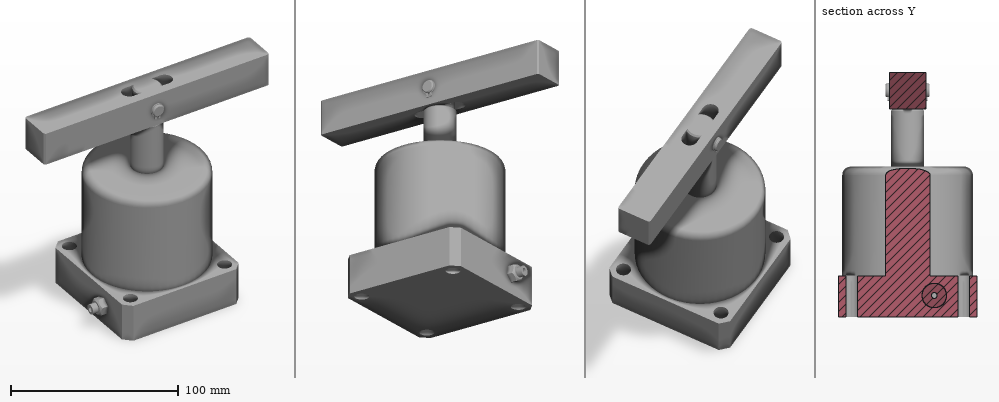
import cadquery as cq
import math

base_width = 83.0
base_height = 25.0
base_corner_chamfer = 5.0
bolt_hole_diameter = 9.0
bolt_hole_spacing = 67.0
cylinder_diameter = 78.0
cylinder_top = 90.0
cylinder_top_fillet = 5.0

total_height = 146.5
bar_length = 160.0
bar_section = 22.0
bar_end_chamfer = 1.0
slot_width = 10.0
slot_length = 35.0

rod_diameter = 20.0
rod_chamfer = 1.0
shoulder_gap = 0.5
tongue_chamfer = 1.0

pin_diameter = 8.0
pin_length = 26.5
pin_chamfer = 0.6
ring_thickness = 0.8
ring_outer_diameter = 8.8
ring_lug_reach = 6.4
ring_lug_span = 4.0
ring_gap = 1.3
lug_hole_diameter = 0.6
lug_hole_drop = 5.3

fitting_x = 15.8
fitting_z = 13.1
plug_diameter = 14.2
plug_length = 9.6
hex_across_flats = 10.0
hex_height = 5.1
hex_tilt = 20.0
hex_end_diameter = 8.6
spigot_diameter = 6.4
spigot_length = 4.0
fitting_bore_diameter = 3.2

front_face_y = -base_width / 2
bar_bottom = total_height - bar_section
pin_z = bar_bottom + bar_section / 2
shoulder_top = bar_bottom - shoulder_gap
tongue_top = total_height
rod_bottom = base_height


def cylinder_along_z(diameter, bottom, top):
    return cq.Workplane("XY", origin=(0, 0, bottom)).circle(diameter / 2).extrude(top - bottom)


def cylinder_along_x(diameter, length):
    """Cylinder centred on the pivot axis."""
    plane = cq.Workplane("YZ", origin=(-length / 2, 0, pin_z))
    return plane.circle(diameter / 2).extrude(length)


def fitting_plane(y):
    """Plane across the fitting axis; its normal points out of the front face."""
    return cq.Workplane("XZ", origin=(fitting_x, y, fitting_z))


def make_housing():
    base = (
        cq.Workplane("XY")
        .rect(base_width, base_width)
        .extrude(base_height)
        .edges("|Z")
        .chamfer(base_corner_chamfer)
    )
    bolt_holes = (
        cq.Workplane("XY")
        .rect(bolt_hole_spacing, bolt_hole_spacing, forConstruction=True)
        .vertices()
        .circle(bolt_hole_diameter / 2)
        .extrude(base_height)
    )
    cylinder = (
        cylinder_along_z(cylinder_diameter, base_height, cylinder_top)
        .faces(">Z")
        .edges()
        .fillet(cylinder_top_fillet)
    )
    rod_bore = cylinder_along_z(rod_diameter, rod_bottom, cylinder_top)
    fitting_hole = fitting_plane(front_face_y).circle(plug_diameter / 2).extrude(-plug_length)
    return base.cut(bolt_holes).union(cylinder).cut(rod_bore).cut(fitting_hole)


def make_rod():
    shank = (
        cylinder_along_z(rod_diameter, rod_bottom, shoulder_top)
        .faces(">Z")
        .edges()
        .chamfer(rod_chamfer)
    )
    tongue_diameter = rod_diameter - 2 * rod_chamfer
    round_tongue = (
        cylinder_along_z(tongue_diameter, shoulder_top, tongue_top)
        .faces(">Z")
        .edges()
        .chamfer(tongue_chamfer)
    )
    tongue_flats = (
        cq.Workplane("XY", origin=(0, 0, shoulder_top))
        .rect(slot_width, rod_diameter)
        .extrude(tongue_top - shoulder_top)
    )
    pin_hole = cylinder_along_x(pin_diameter, pin_length)
    return shank.union(round_tongue.intersect(tongue_flats)).cut(pin_hole)


def make_bar():
    bar = (
        cq.Workplane("XY", origin=(0, 0, bar_bottom))
        .rect(bar_section, bar_length)
        .extrude(bar_section)
        .edges("|Z")
        .chamfer(bar_end_chamfer)
    )
    slot = (
        cq.Workplane("XY", origin=(0, 0, bar_bottom))
        .slot2D(slot_length, slot_width, 90)
        .extrude(bar_section)
    )
    return bar.cut(slot).cut(cylinder_along_x(pin_diameter, pin_length))


def make_pin():
    return cylinder_along_x(pin_diameter, pin_length).faces("<X or >X").edges().chamfer(pin_chamfer)


def make_retaining_ring(side):
    """Open ring around the pin, against the bar side at -X (side -1) or +X (side 1)."""
    inner_x = side * bar_section / 2
    plane = cq.Workplane("YZ", origin=(inner_x, 0, pin_z))
    thickness = side * ring_thickness
    band = plane.circle(ring_outer_diameter / 2).extrude(thickness)
    lug_strip = plane.center(0, -ring_lug_reach / 2).rect(ring_lug_span, ring_lug_reach).extrude(thickness)
    lugs = plane.circle(ring_lug_reach).extrude(thickness).intersect(lug_strip)
    gap = plane.center(0, -ring_lug_reach / 2).rect(ring_gap, ring_lug_reach).extrude(thickness)
    lug_spacing = (ring_lug_span + ring_gap) / 2
    lug_holes = (
        plane.pushPoints([(-lug_spacing / 2, -lug_hole_drop), (lug_spacing / 2, -lug_hole_drop)])
        .circle(lug_hole_diameter / 2)
        .extrude(thickness)
    )
    pin_opening = plane.circle(pin_diameter / 2).extrude(thickness)
    return band.union(lugs).cut(gap).cut(lug_holes).cut(pin_opening)


def make_fitting():
    plug = fitting_plane(front_face_y).circle(plug_diameter / 2).extrude(-plug_length)
    hex_corner_diameter = hex_across_flats / math.cos(math.radians(30))
    hex_prism = (
        fitting_plane(front_face_y)
        .transformed(rotate=(0, 0, hex_tilt))
        .polygon(6, hex_corner_diameter)
        .extrude(hex_height)
    )
    hex_envelope = (
        fitting_plane(front_face_y)
        .circle(hex_corner_diameter / 2)
        .extrude(hex_height)
        .faces("<Y")
        .edges()
        .chamfer((hex_corner_diameter - hex_end_diameter) / 2)
    )
    spigot = (
        fitting_plane(front_face_y - hex_height)
        .circle(spigot_diameter / 2)
        .extrude(spigot_length)
    )
    bore = (
        fitting_plane(front_face_y + plug_length)
        .circle(fitting_bore_diameter / 2)
        .extrude(plug_length + hex_height + spigot_length)
    )
    return plug.union(hex_prism.intersect(hex_envelope)).union(spigot).cut(bore)


housing = make_housing()
rod = make_rod()
bar = make_bar()
pin = make_pin()
fitting = make_fitting()
retaining_rings = [make_retaining_ring(side) for side in (-1, 1)]

result = cq.Compound.makeCompound(
    [
        housing.val(),
        rod.val(),
        bar.val(),
        pin.val(),
        fitting.val(),
        *[ring.val() for ring in retaining_rings],
    ]
)